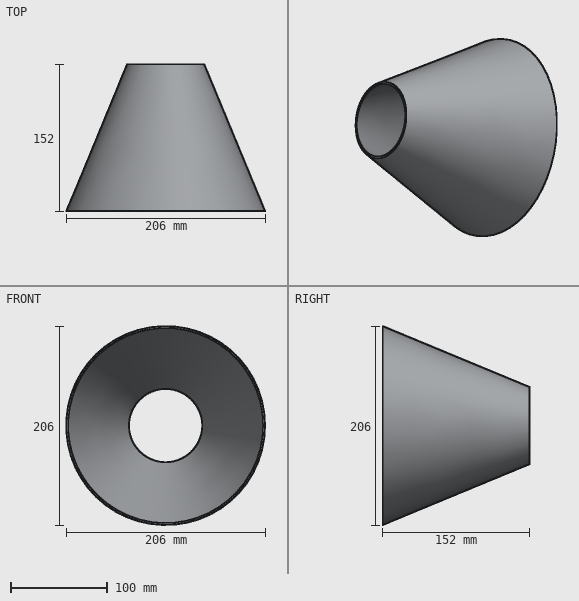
import cadquery as cq
import math

large_diameter = 206.0
small_diameter = 80.0
length = 152.0
wall_thickness = 2.0

large_radius = large_diameter / 2
small_radius = small_diameter / 2
half_angle = math.atan2(large_radius - small_radius, length)
radial_wall = wall_thickness / math.cos(half_angle)

wall_section = (
    cq.Workplane("XY")
    .moveTo(large_radius, 0)
    .lineTo(small_radius, length)
    .lineTo(small_radius - radial_wall, length)
    .lineTo(large_radius - radial_wall, 0)
    .close()
)

result = wall_section.revolve(360, (0, 0, 0), (0, 1, 0))